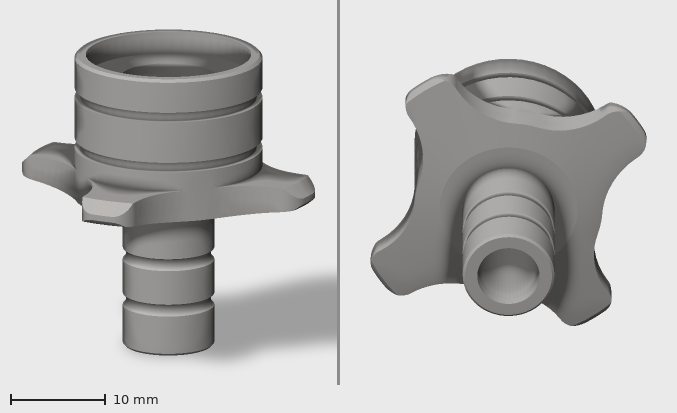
import cadquery as cq
import math

full_turn = 360.0

total_height = 31.8
stem_radius = 9.7 / 2
stem_bottom_chamfer = 0.25
stem_groove_centers = (5.0, 10.0)
stem_groove_width = 1.3
stem_groove_depth = 0.38

head_radius = 19.9 / 2
head_top_chamfer = 0.3
head_groove_radius = 18.7 / 2
head_groove_width = 1.05
head_groove_bottoms = (21.65, 27.15)
cut_clearance = 1.0

flange_bottom = 15.8
flange_top = 19.6
flange_tip_radius = 33.0 / 2
flange_flat_radius = 7.3
flange_cone_angle = 9.0
tip_top_chamfer = 1.3
tip_bottom_chamfer = 0.5
arm_count = 4
arm_half_width = 3.0
arm_corner_radius = 2.0
arm_root_radius = 8.0

recess_radius = 17.5 / 2
recess_depth = 2.4
lip_radius = 10.0 / 2
lip_thickness = 1.0
chamber_radius = 14.0 / 2
chamber_height = 6.0
through_radius = 6.6 / 2


def ring(inner_radius, outer_radius, bottom, height):
    """Plain ring around the Z axis."""
    return (
        cq.Workplane("XY")
        .workplane(offset=bottom)
        .circle(outer_radius)
        .circle(inner_radius)
        .extrude(height)
    )


def cylinder(radius, bottom, top):
    """Solid cylinder around the Z axis."""
    return cq.Workplane("XY").workplane(offset=bottom).circle(radius).extrude(top - bottom)


def make_stem():
    """Stem with two round-bottomed grooves."""
    stem = cylinder(stem_radius, 0, flange_top).faces("<Z").chamfer(stem_bottom_chamfer)
    for center in stem_groove_centers:
        lower = center - stem_groove_width / 2
        upper = center + stem_groove_width / 2
        groove = (
            cq.Workplane("XZ")
            .moveTo(stem_radius, lower)
            .threePointArc((stem_radius - stem_groove_depth, center), (stem_radius, upper))
            .close()
            .revolve(full_turn, (0, 0, 0), (0, 1, 0))
        )
        stem = stem.cut(groove)
    return stem


def make_head():
    """Large cylinder with two square grooves around it."""
    head = cylinder(head_radius, flange_top, total_height).faces(">Z").chamfer(head_top_chamfer)
    for bottom in head_groove_bottoms:
        head = head.cut(ring(head_groove_radius, head_radius + cut_clearance, bottom, head_groove_width))
    return head


def make_arm():
    """One +X arm: rounded tip, straight sides, and concave roots tangent to the head."""
    corner_y = arm_half_width - arm_corner_radius
    corner_x = math.sqrt((flange_tip_radius - arm_corner_radius) ** 2 - corner_y**2)
    root_y = arm_half_width + arm_root_radius
    root_x = math.sqrt((head_radius + arm_root_radius) ** 2 - root_y**2)

    tip_angle = math.atan2(corner_y, corner_x)
    tip_x = flange_tip_radius * math.cos(tip_angle)
    tip_y = flange_tip_radius * math.sin(tip_angle)
    root_angle = math.atan2(root_y, root_x)
    root_end_x = head_radius * math.cos(root_angle)
    root_end_y = head_radius * math.sin(root_angle)

    corner_mid_angle = (tip_angle + math.pi / 2) / 2
    corner_mid_x = corner_x + arm_corner_radius * math.cos(corner_mid_angle)
    corner_mid_y = corner_y + arm_corner_radius * math.sin(corner_mid_angle)
    root_mid_angle = (root_angle + math.pi / 2) / 2
    root_mid_x = root_x - arm_root_radius * math.cos(root_mid_angle)
    root_mid_y = root_y - arm_root_radius * math.sin(root_mid_angle)

    return (
        cq.Workplane("XY")
        .workplane(offset=flange_bottom)
        .moveTo(0, 0)
        .lineTo(root_end_x, -root_end_y)
        .threePointArc((root_mid_x, -root_mid_y), (root_x, -arm_half_width))
        .lineTo(corner_x, -arm_half_width)
        .threePointArc((corner_mid_x, -corner_mid_y), (tip_x, -tip_y))
        .threePointArc((flange_tip_radius, 0), (tip_x, tip_y))
        .threePointArc((corner_mid_x, corner_mid_y), (corner_x, arm_half_width))
        .lineTo(root_x, arm_half_width)
        .threePointArc((root_mid_x, root_mid_y), (root_end_x, root_end_y))
        .close()
        .extrude(flange_top - flange_bottom)
    )


def make_flange():
    """Star-shaped flange trimmed to a turned profile with a conical underside."""
    star = cylinder(head_radius, flange_bottom, flange_top)
    for index in range(arm_count):
        star = star.union(make_arm().rotate((0, 0, 0), (0, 0, 1), index * full_turn / arm_count))

    cone_outer_radius = flange_tip_radius - tip_bottom_chamfer
    cone_rise = (cone_outer_radius - flange_flat_radius) * math.tan(math.radians(flange_cone_angle))
    cone_top = flange_bottom + cone_rise
    envelope = (
        cq.Workplane("XZ")
        .moveTo(0, flange_bottom)
        .lineTo(flange_flat_radius, flange_bottom)
        .lineTo(cone_outer_radius, cone_top)
        .lineTo(flange_tip_radius, cone_top + tip_bottom_chamfer)
        .lineTo(flange_tip_radius, flange_top - tip_top_chamfer)
        .lineTo(flange_tip_radius - tip_top_chamfer, flange_top)
        .lineTo(0, flange_top)
        .close()
        .revolve(full_turn, (0, 0, 0), (0, 1, 0))
    )
    return star.intersect(envelope)


def make_bore():
    """Stepped bore: open recess, narrow lip, wider chamber, and through hole."""
    recess_floor = total_height - recess_depth
    chamber_top = recess_floor - lip_thickness
    chamber_floor = chamber_top - chamber_height
    return (
        cylinder(through_radius, 0, total_height)
        .union(cylinder(chamber_radius, chamber_floor, chamber_top))
        .union(cylinder(lip_radius, chamber_top, recess_floor))
        .union(cylinder(recess_radius, recess_floor, total_height))
    )


result = make_stem().union(make_flange()).union(make_head()).cut(make_bore())